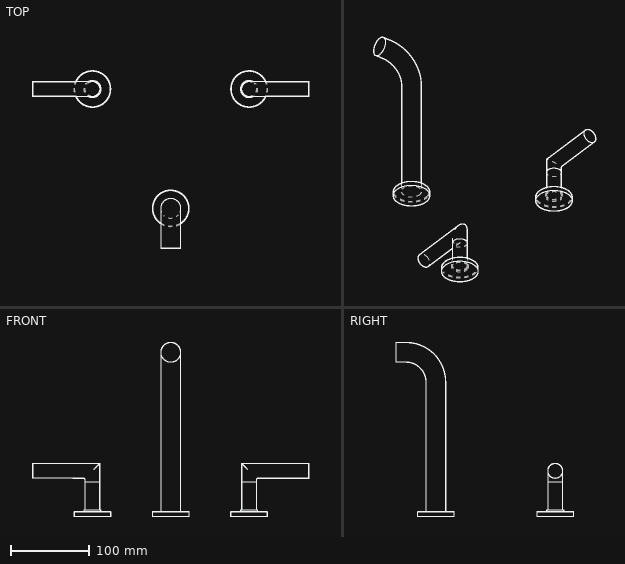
import cadquery as cq

OVERALL_WIDTH = 352.5
OVERALL_DEPTH = 226.5
HANDLE_SPACING = 200.0
HANDLE_SETBACK = 152.2

FLANGE_DIAMETER = 47.0
FLANGE_HEIGHT = 6.7
FLANGE_CHAMFER = 0.7

SPOUT_HEIGHT = 222.5
SPOUT_DIAMETER = 25.5
BEND_RADIUS = 38.0
OUTLET_LENGTH = OVERALL_DEPTH - HANDLE_SETBACK - FLANGE_DIAMETER / 2 - BEND_RADIUS

HANDLE_DIAMETER = 19.0
HANDLE_HEIGHT = 68.0
COLLAR_DIAMETER = 22.0
COLLAR_HEIGHT = 2.0
POST_TOP = 44.0
ELBOW_FILLET = 2.0
ELBOW_FILLET_SPAN = 18.5

SPOUT_AXIS_HEIGHT = SPOUT_HEIGHT - SPOUT_DIAMETER / 2
BEND_START = SPOUT_AXIS_HEIGHT - BEND_RADIUS
HANDLE_RADIUS = HANDLE_DIAMETER / 2
LEVER_AXIS_HEIGHT = HANDLE_HEIGHT - HANDLE_RADIUS
LEVER_REACH = (OVERALL_WIDTH - HANDLE_SPACING) / 2


def make_flange():
    """Disc on the ground plane with a chamfered upper rim."""
    disc = cq.Workplane("XY").circle(FLANGE_DIAMETER / 2).extrude(FLANGE_HEIGHT)
    return disc.faces(">Z").edges().chamfer(FLANGE_CHAMFER)


def make_spout():
    """Flange and upright pipe that bends forward to a short straight outlet."""
    pipe_path = (
        cq.Workplane("YZ")
        .moveTo(0, FLANGE_HEIGHT)
        .lineTo(0, BEND_START)
        .radiusArc((-BEND_RADIUS, SPOUT_AXIS_HEIGHT), -BEND_RADIUS)
        .lineTo(-BEND_RADIUS - OUTLET_LENGTH, SPOUT_AXIS_HEIGHT)
    )
    pipe = cq.Workplane("XY", origin=(0, 0, FLANGE_HEIGHT)).circle(SPOUT_DIAMETER / 2).sweep(pipe_path)
    return make_flange().union(pipe)


def make_handle_base(side):
    """Flange, collar and fixed post; side is -1 for left and +1 for right."""
    flange = make_flange()
    collar = flange.faces(">Z").workplane().circle(COLLAR_DIAMETER / 2).extrude(COLLAR_HEIGHT)
    post = cq.Workplane("XY").circle(HANDLE_RADIUS).extrude(POST_TOP)
    return collar.union(post).translate((side * HANDLE_SPACING / 2, HANDLE_SETBACK, 0))


def fillet_elbow(lever, side):
    """Round the inner corner of the mitre across nearly the whole tube width.

    The corner is rounded on a slab of the tube between two flat sides, since the
    mitre edge vanishes smoothly at the full width, and the slab is joined back.
    """
    slab_size = 2 * OVERALL_WIDTH
    slab = lever.intersect(cq.Workplane("XY").box(slab_size, ELBOW_FILLET_SPAN, slab_size))
    inner_reach = 2 * HANDLE_RADIUS
    inner_corner = cq.selectors.BoxSelector(
        (0, -inner_reach, LEVER_AXIS_HEIGHT),
        (side * inner_reach, inner_reach, LEVER_AXIS_HEIGHT - inner_reach),
    )
    rounded_slab = slab.edges("%ELLIPSE").edges(inner_corner).fillet(ELBOW_FILLET)
    return lever.union(rounded_slab)


def make_lever(side):
    """Turning lever with a mitred elbow, pointing outward on the given side."""
    lever_path = (
        cq.Workplane("XZ")
        .moveTo(0, POST_TOP)
        .lineTo(0, LEVER_AXIS_HEIGHT)
        .lineTo(side * LEVER_REACH, LEVER_AXIS_HEIGHT)
    )
    lever = (
        cq.Workplane("XY", origin=(0, 0, POST_TOP))
        .circle(HANDLE_RADIUS)
        .sweep(lever_path, transition="right")
    )
    return fillet_elbow(lever, side).translate((side * HANDLE_SPACING / 2, HANDLE_SETBACK, 0))


spout = make_spout().solids()
handle_bases = []
levers = []
for side in (-1, 1):
    handle_bases.append(make_handle_base(side).solids().val())
    levers.append(make_lever(side).solids().val())

result = cq.Compound.makeCompound([spout.val(), *handle_bases, *levers])